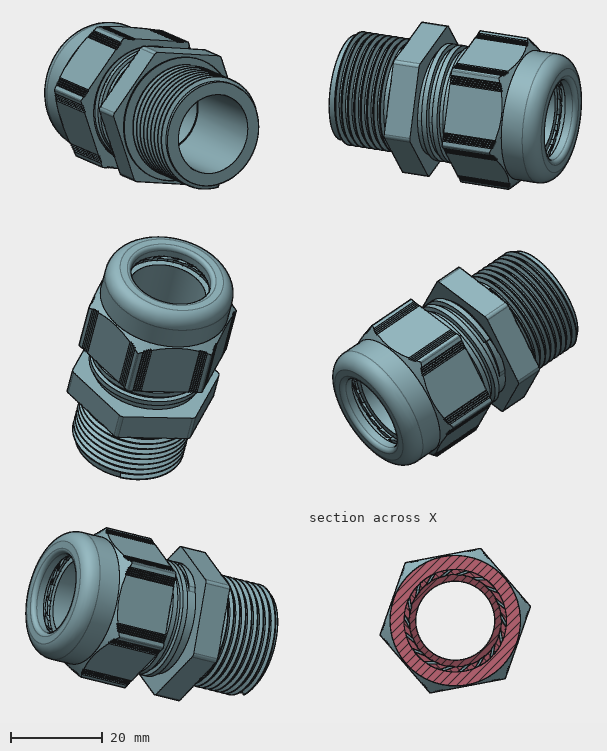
import cadquery as cq
import math


TOTAL_LENGTH = 50.0
CAP_LENGTH = 21.35
FLANGE_START = 29.0
FLANGE_END = 35.05

ACROSS_FLATS = 29.0
HEX_SIDES = 6
ACROSS_CORNERS = ACROSS_FLATS / math.cos(math.pi / HEX_SIDES)
HEX_CORNER_ANGLE = -10.75
CAP_CORNER_RADIUS = 0.3
FLANGE_CORNER_RADIUS = 1.0

DOME_RADIUS = 28.53 / 2
DOME_FACE_RADIUS = 23.0 / 2
DOME_ROUND_LENGTH = 3.34
CAP_HEX_START = 8.28
CORNER_CONE_LENGTH = 1.95
CORNER_CONE_RISE = 2.45
MOUTH_RADIUS = 17.77 / 2
MOUTH_ROUND = 1.0
MOUTH_DEPTH = 2.7
FINGER_CAVITY_END = 12.0
THREAD_CAVITY_RADIUS = 26.36 / 2

GROOVE_COUNT = 4
GROOVE_PITCH = 0.47
GROOVE_DEPTH = 0.25
GROOVE_FROM_CORNER = 1.1

FINGER_START = 4.4
FINGER_RADIUS = 22.28 / 2
FINGER_COUNT = 18
FINGER_SLOT_WIDTH = 0.5
FINGER_SLOT_SLANT = 60.0
FINGER_SLOT_END = 10.0
FINGER_SLOT_REACH = 4.5
NECK_RADIUS = 23.78 / 2
COLLAR_RADIUS = 27.66 / 2
COLLAR_END = 35.4
STEM_RADIUS = 23.28 / 2
SOCKET_RADIUS = 20.04 / 2
BODY_BORE_RADIUS = 17.68 / 2

CAP_THREAD_RADIUS = 25.76 / 2
CAP_THREAD_PITCH = 2.5
CAP_THREAD_BASE = 1.5
CAP_THREAD_CREST = 1.15
CAP_THREAD_END = 27.92
CAP_THREAD_END_ANGLE = 125.0
CAP_THREAD_TURNS = 5

RAMP_START = 27.46
RAMP_FROM_ANGLE = 124.0
RAMP_TOE_ANGLE = 164.0
RAMP_FOOT_ANGLE = 169.5
RAMP_TOP_RADIUS = 25.72 / 2
RAMP_TOE_HEIGHT = 0.3
RAMP_TOE_RADIUS = NECK_RADIUS + RAMP_TOE_HEIGHT
RAMP_FLANK_START = 28.4
RAMP_FLANK_DROP = 4.2

STEM_THREAD_RADIUS = 25.0 / 2
STEM_THREAD_PITCH = 1.5
STEM_THREAD_BASE = 1.1
STEM_THREAD_CREST = 0.2
STEM_THREAD_START = 36.46
STEM_THREAD_START_ANGLE = 80.0
STEM_THREAD_TURNS = 8.55

THREAD_ROOT_OVERLAP = 0.15

SLEEVE_START = 4.95
SLEEVE_BORE_RADIUS = 17.2 / 2


def about_x(part, angle):
    return part.rotate((0, 0, 0), (1, 0, 0), angle)


def cylinder_x(radius, start, end):
    return cq.Workplane("YZ").workplane(offset=start).circle(radius).extrude(end - start)


def revolve_x(profile):
    """Revolve a closed profile drawn as (x, radius) about the X axis."""
    return profile.close().revolve(360, (0, 0, 0), (1, 0, 0))


def hex_prism(start, end, corner_radius):
    prism = (
        cq.Workplane("YZ").workplane(offset=start)
        .polygon(HEX_SIDES, ACROSS_CORNERS)
        .extrude(end - start)
        .edges("|X").fillet(corner_radius)
    )
    return about_x(prism, HEX_CORNER_ANGLE)


def thread_ridge(root, crest, base_width, crest_width, pitch, turns, start, start_angle):
    """Right-handed helical ridge whose middle begins at X = start and start_angle."""
    inner = root - THREAD_ROOT_OVERLAP
    flank_slope = (base_width - crest_width) / (crest - root)
    inner_width = base_width + flank_slope * THREAD_ROOT_OVERLAP
    helix = cq.Workplane(obj=cq.Wire.makeHelix(pitch, pitch * turns, root))
    ridge = (
        cq.Workplane("XZ")
        .polyline([
            (inner, -inner_width / 2),
            (crest, -crest_width / 2),
            (crest, crest_width / 2),
            (inner, inner_width / 2),
        ])
        .close()
        .sweep(helix, isFrenet=True)
    )
    ridge = ridge.rotate((0, 0, 0), (0, 1, 0), 90)
    return about_x(ridge, start_angle + 90).translate((start, 0, 0))


def grip_grooves():
    """V grooves along X on both sides of every hexagon corner."""
    flat_distance = ACROSS_FLATS / 2
    half_side = flat_distance * math.tan(math.pi / HEX_SIDES)
    first = half_side - GROOVE_FROM_CORNER - GROOVE_PITCH / 2
    cutters = []
    for index in range(GROOVE_COUNT):
        for side in (-1, 1):
            across = side * (first - index * GROOVE_PITCH)
            cutter = (
                cq.Workplane("YZ").workplane(offset=CAP_HEX_START)
                .polyline([
                    (flat_distance - GROOVE_DEPTH, across),
                    (flat_distance, across + GROOVE_PITCH / 2),
                    (flat_distance + GROOVE_DEPTH, across),
                    (flat_distance, across - GROOVE_PITCH / 2),
                ])
                .close()
                .extrude(CAP_LENGTH - CAP_HEX_START)
            )
            for flat in range(HEX_SIDES):
                turn = HEX_CORNER_ANGLE + (flat + 0.5) * 360 / HEX_SIDES
                cutters.append(about_x(cutter, turn))
    return cutters


def dome_round_middle():
    """Middle of the arc that leaves the dome side tangentially and ends on the front face."""
    drop = DOME_RADIUS - DOME_FACE_RADIUS
    radius = (DOME_ROUND_LENGTH**2 + drop**2) / (2 * drop)
    half_sweep = math.asin(DOME_ROUND_LENGTH / radius) / 2
    return (
        DOME_ROUND_LENGTH - radius * math.sin(half_sweep),
        DOME_RADIUS - radius * (1 - math.cos(half_sweep)),
    )


def make_cap_nut():
    cone_end = CAP_HEX_START + CORNER_CONE_LENGTH
    cone_radius = DOME_RADIUS + CORNER_CONE_RISE
    corner_cone = revolve_x(
        cq.Workplane("XY")
        .moveTo(CAP_HEX_START, 0)
        .lineTo(CAP_HEX_START, DOME_RADIUS)
        .lineTo(cone_end, cone_radius)
        .lineTo(CAP_LENGTH, cone_radius)
        .lineTo(CAP_LENGTH, 0)
    )
    grip = hex_prism(CAP_HEX_START, CAP_LENGTH, CAP_CORNER_RADIUS).intersect(corner_cone)
    for groove in grip_grooves():
        grip = grip.cut(groove)

    dome = revolve_x(
        cq.Workplane("XY")
        .moveTo(0, 0)
        .lineTo(0, DOME_FACE_RADIUS)
        .threePointArc(dome_round_middle(), (DOME_ROUND_LENGTH, DOME_RADIUS))
        .lineTo(CAP_HEX_START, DOME_RADIUS)
        .lineTo(CAP_HEX_START, 0)
    )
    mouth_round_offset = MOUTH_ROUND * (1 - math.sqrt(0.5))
    cavity = revolve_x(
        cq.Workplane("XY")
        .moveTo(0, 0)
        .lineTo(0, MOUTH_RADIUS + MOUTH_ROUND)
        .threePointArc(
            (mouth_round_offset, MOUTH_RADIUS + mouth_round_offset),
            (MOUTH_ROUND, MOUTH_RADIUS),
        )
        .lineTo(MOUTH_DEPTH, MOUTH_RADIUS)
        .lineTo(MOUTH_DEPTH, FINGER_RADIUS)
        .lineTo(FINGER_CAVITY_END, FINGER_RADIUS)
        .lineTo(FINGER_CAVITY_END, THREAD_CAVITY_RADIUS)
        .lineTo(CAP_LENGTH, THREAD_CAVITY_RADIUS)
        .lineTo(CAP_LENGTH, 0)
    )
    return grip.union(dome).cut(cavity)


def point_yz(radius, angle):
    turn = math.radians(angle)
    return (radius * math.cos(turn), radius * math.sin(turn))


def thread_runout():
    """Ramp that falls from the crest of the cap thread toward the neck, up against the flange."""
    inner_radius = NECK_RADIUS - THREAD_ROOT_OVERLAP
    middle_angle = (RAMP_FROM_ANGLE + RAMP_TOE_ANGLE) / 2
    middle_radius = (RAMP_TOP_RADIUS + RAMP_TOE_RADIUS) / 2
    ramp = (
        cq.Workplane("YZ").workplane(offset=RAMP_START)
        .moveTo(*point_yz(inner_radius, RAMP_FROM_ANGLE))
        .lineTo(*point_yz(RAMP_TOP_RADIUS, RAMP_FROM_ANGLE))
        .threePointArc(
            point_yz(middle_radius, middle_angle),
            point_yz(RAMP_TOE_RADIUS, RAMP_TOE_ANGLE),
        )
        .lineTo(*point_yz(NECK_RADIUS, RAMP_FOOT_ANGLE))
        .lineTo(*point_yz(inner_radius, RAMP_FOOT_ANGLE))
        .threePointArc(
            point_yz(inner_radius, middle_angle),
            point_yz(inner_radius, RAMP_FROM_ANGLE),
        )
        .close()
        .extrude(FLANGE_START - RAMP_START)
    )
    top = point_yz(RAMP_TOP_RADIUS, RAMP_FROM_ANGLE)[1]
    behind_flank = (
        cq.Workplane("XZ")
        .polyline([
            (RAMP_FLANK_START, top),
            (FLANGE_START, top),
            (FLANGE_START, top - RAMP_FLANK_DROP),
        ])
        .close()
        .extrude(CAP_THREAD_RADIUS)
    )
    return ramp.cut(behind_flank)


def cut_finger_slots(body):
    """Slanted slots that split the front of the body into clamping fingers."""
    wall_middle = (FINGER_RADIUS + SOCKET_RADIUS) / 2
    slot = cq.Workplane("XY").box(
        FINGER_SLOT_END - FINGER_START, FINGER_SLOT_REACH, FINGER_SLOT_WIDTH,
        centered=(False, True, True),
    )
    slot = about_x(slot, FINGER_SLOT_SLANT).translate((FINGER_START, wall_middle, 0))
    for index in range(FINGER_COUNT):
        body = body.cut(about_x(slot, index * 360 / FINGER_COUNT))
    return body


def make_gland_body():
    neck = cylinder_x(NECK_RADIUS, FINGER_CAVITY_END, FLANGE_START)
    cap_thread = thread_ridge(
        NECK_RADIUS, CAP_THREAD_RADIUS, CAP_THREAD_BASE, CAP_THREAD_CREST,
        CAP_THREAD_PITCH, CAP_THREAD_TURNS,
        CAP_THREAD_END - CAP_THREAD_PITCH * CAP_THREAD_TURNS, CAP_THREAD_END_ANGLE,
    )
    stem = cylinder_x(STEM_RADIUS, FLANGE_END, TOTAL_LENGTH)
    stem_thread = thread_ridge(
        STEM_RADIUS, STEM_THREAD_RADIUS, STEM_THREAD_BASE, STEM_THREAD_CREST,
        STEM_THREAD_PITCH, STEM_THREAD_TURNS, STEM_THREAD_START, STEM_THREAD_START_ANGLE,
    )
    body = neck.union(cap_thread).union(thread_runout())
    body = body.union(cylinder_x(FINGER_RADIUS, FINGER_START, FINGER_CAVITY_END))
    body = body.union(hex_prism(FLANGE_START, FLANGE_END, FLANGE_CORNER_RADIUS))
    body = body.union(cylinder_x(COLLAR_RADIUS, FLANGE_END, COLLAR_END))
    body = body.union(stem.union(stem_thread))
    body = body.cut(cylinder_x(SOCKET_RADIUS, FINGER_START, FLANGE_START))
    body = body.cut(cylinder_x(BODY_BORE_RADIUS, FLANGE_START, TOTAL_LENGTH))
    return cut_finger_slots(body)


def make_sealing_sleeve():
    sleeve = cylinder_x(SOCKET_RADIUS, SLEEVE_START, FLANGE_START)
    return sleeve.cut(cylinder_x(SLEEVE_BORE_RADIUS, SLEEVE_START, FLANGE_START))


cap_nut = make_cap_nut()
gland_body = make_gland_body()
sealing_sleeve = make_sealing_sleeve()

result = cq.Compound.makeCompound([
    cap_nut.solids().val(),
    gland_body.solids().val(),
    sealing_sleeve.solids().val(),
])